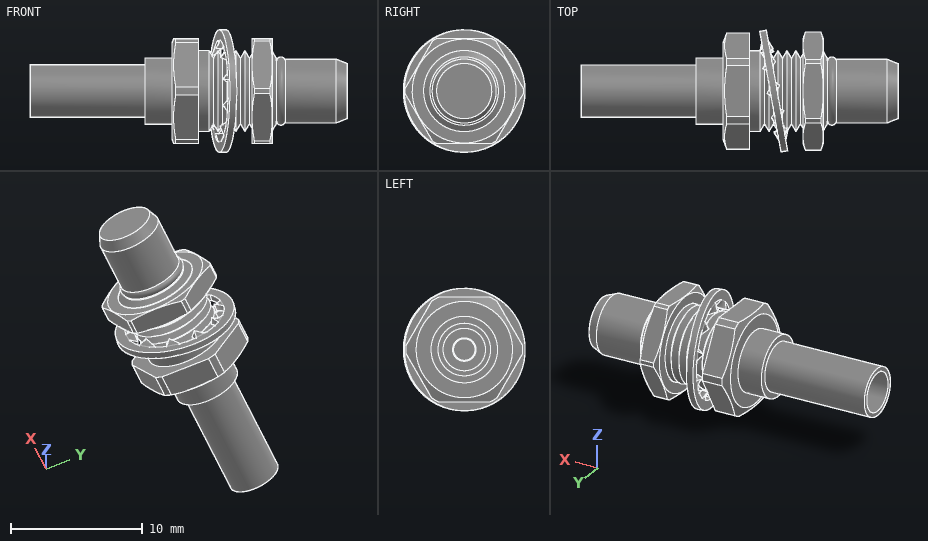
import cadquery as cq
import math


tube_length = 8.76
flange_start = 10.82
flange_end = 12.85
shoulder_end = 13.65
last_crest = 18.45
barrel_chamfer_start = 23.36
total_length = 24.2

tube_radius = 2.0
tube_bore_radius = 1.62
collar_radius = 2.55
thread_radius = 3.1
thread_root_radius = 2.52
barrel_radius = 2.45
barrel_tip_radius = 2.1

thread_turns = 7
thread_pitch = (last_crest - shoulder_end) / thread_turns

across_flats = 8.01
flange_corner_radius = 4.45
flange_face_radius = 3.68
flange_chamfer = 0.3

nut_start = 16.92
nut_end = 18.5
nut_corner_radius = 4.53
nut_face_radius = 3.97
nut_chamfer = 0.2

seal_section_radius = 0.35
seal_outer_radius = 2.61
groove_start = last_crest + thread_pitch / 2
groove_end = 19.5
groove_radius = seal_outer_radius - 2 * seal_section_radius

pin_radius = 0.9
pin_chamfer = 0.07
pin_seat_depth = 0.97
pin_projection = 0.48

washer_centre = 14.7
washer_tilt = 10.0
washer_diameter = 9.37
washer_inner_radius = 3.9
washer_thickness = 0.53
tooth_count = 10
tooth_first_angle = 15.7
tooth_width = 1.02
tooth_tip_radius = 3.25
tooth_twist = -40.0
tooth_root_overlap = 0.12


def cylinder(start, end, radius):
    """Solid cylinder on the X axis between two stations."""
    return cq.Workplane("YZ").workplane(offset=start).circle(radius).extrude(end - start)


def revolve_profile(points):
    """Turn a closed (x, radius) outline about the X axis."""
    return cq.Workplane("XZ").polyline(points).close().revolve(360, (0, 0, 0), (1, 0, 0))


def hexagon(start, end, corner_radius):
    """Hexagonal prism with flats at top and bottom and its corners turned round."""
    full_diameter = across_flats / math.cos(math.radians(30))
    outline = cq.Workplane("YZ").workplane(offset=start).polygon(6, full_diameter)
    prism = outline.extrude(end - start)
    return prism.intersect(cylinder(start, end, corner_radius))


def make_body():
    """Tube, collar, hexagonal flange, ringed thread and barrel in one piece."""
    hex_envelope = revolve_profile([
        (flange_start, 0),
        (flange_start, flange_face_radius),
        (flange_start + flange_chamfer, flange_corner_radius),
        (flange_end, flange_corner_radius),
        (flange_end, 0),
    ])
    flange = hexagon(flange_start, flange_end, flange_corner_radius).intersect(hex_envelope)

    rear = [
        (0, 0),
        (0, tube_radius),
        (tube_length, tube_radius),
        (tube_length, collar_radius),
        (flange_end, collar_radius),
        (flange_end, thread_radius),
    ]
    thread = []
    for turn in range(thread_turns + 1):
        crest = shoulder_end + turn * thread_pitch
        thread.append((crest, thread_radius))
        thread.append((crest + thread_pitch / 2, thread_root_radius))
    front = [
        (groove_start, groove_radius),
        (groove_end, groove_radius),
        (groove_end, barrel_radius),
        (barrel_chamfer_start, barrel_radius),
        (total_length, barrel_tip_radius),
        (total_length, 0),
    ]
    turned = revolve_profile(rear + thread + front)
    bore = cylinder(0, tube_length, tube_bore_radius)
    pin_seat = cylinder(tube_length, tube_length + pin_seat_depth, pin_radius)
    return turned.union(flange).cut(bore).cut(pin_seat)


def make_nut():
    """Hexagonal nut, chamfered on both sides, seated on the thread crests."""
    envelope = revolve_profile([
        (nut_start, thread_radius),
        (nut_start, nut_face_radius),
        (nut_start + nut_chamfer, nut_corner_radius),
        (nut_end - nut_chamfer, nut_corner_radius),
        (nut_end, nut_face_radius),
        (nut_end, thread_radius),
    ])
    return hexagon(nut_start, nut_end, nut_corner_radius).intersect(envelope)


def make_seal():
    """Round-section ring filling the depth of the groove."""
    centre_x = (groove_start + groove_end) / 2
    centre_radius = seal_outer_radius - seal_section_radius
    section = cq.Workplane("XY").center(centre_x, centre_radius).circle(seal_section_radius)
    return section.revolve(360, (-centre_x, -centre_radius, 0), (0.25 - centre_x, -centre_radius, 0))


def make_pin():
    """Pin standing in its seat, with a chamfered end inside the tube."""
    pin = cylinder(tube_length - pin_projection, tube_length + pin_seat_depth, pin_radius)
    return pin.faces("<X").chamfer(pin_chamfer)


def tooth_section(radius, twist):
    """Tooth outline at one radius, in a plane square to Z, turned about the radial line."""
    outline = cq.Workplane("XY", origin=(0, 0, radius)).rect(washer_thickness, tooth_width)
    return outline.val().rotate(cq.Vector(0, 0, 0), cq.Vector(0, 0, 1), twist)


def make_washer():
    """Flat ring with twisted teeth pointing inward."""
    half = washer_thickness / 2
    washer = cylinder(-half, half, washer_diameter / 2).cut(cylinder(-half, half, washer_inner_radius))
    blade_radius = math.sqrt(washer_inner_radius**2 - (tooth_width / 2) ** 2)
    root = tooth_section(washer_inner_radius + tooth_root_overlap, 0)
    blade_start = tooth_section(blade_radius, 0)
    tip = tooth_section(tooth_tip_radius, tooth_twist)
    blade = cq.Workplane(cq.Solid.makeLoft([blade_start, tip], True))
    tooth = blade.union(cq.Workplane(cq.Solid.makeLoft([blade_start, root], True)))
    for index in range(tooth_count):
        angle = tooth_first_angle + index * 360 / tooth_count - 90
        washer = washer.union(tooth.rotate((0, 0, 0), (1, 0, 0), angle))
    return washer.rotate((0, 0, 0), (0, 0, 1), washer_tilt).translate((washer_centre, 0, 0))


body = make_body()
nut = make_nut()
seal = make_seal()
pin = make_pin()
washer = make_washer()

result = cq.Compound.makeCompound([body.val(), nut.val(), seal.val(), pin.val(), washer.val()])